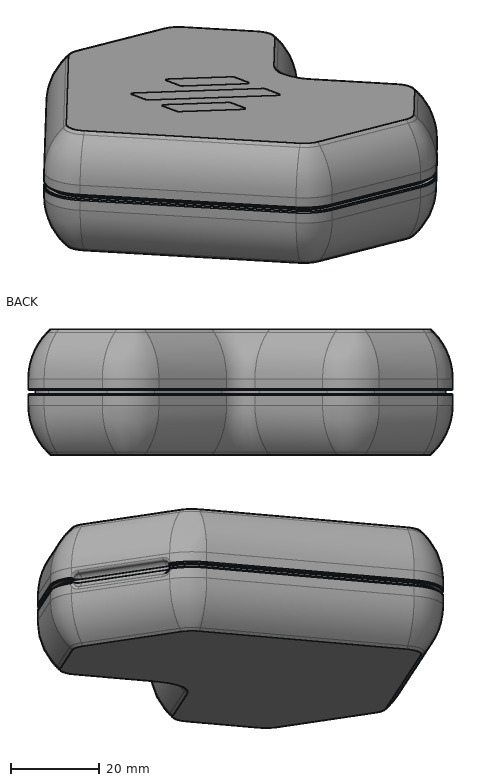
import cadquery as cq
import math

half_width = 48.2
edge_angle = 40.0
lobe_x = 25.0
side_length = 35.27
outer_corner_radius = 10.0
notch_radius = 5.0

slope = math.tan(math.radians(edge_angle))
tip_rounding = outer_corner_radius * (1 / math.cos(math.radians(edge_angle)) - 1)
lobe_rise = (half_width - lobe_x) * slope
tip_drop = half_width * slope
outline_length = lobe_rise + side_length + tip_drop - 2 * tip_rounding

lobe_y = outline_length / 2 + tip_rounding
side_top_y = lobe_y - lobe_rise
side_bottom_y = side_top_y - side_length
side_middle_y = (side_top_y + side_bottom_y) / 2
tip_y = side_bottom_y - tip_drop
notch_y = lobe_y - lobe_x * slope

half_height = 14.3
gap_half_height = 0.4
gap_depth = 1.6
gap_edge_chamfer = 0.3
wall_top = 3.0
round_radius = 15.0
round_angle = math.radians(45)
rim_width = 8.0
core_inset = 7.0

slot_radius = gap_depth
slot_end_offset = 11.2
slot_rim_radius = 0.75
slot_overshoot = 0.1

strip_width = 6.5
strip_height = 26.0
short_strip_height = 13.5
strip_pitch = 11.05
strip_angle = 57.0
strip_corner_radius = 0.7
strip_thickness = 0.6


def inner_corner(wire):
    """Corner of the notch, the corner closest to the middle of the heart."""
    return min(wire.Vertices(), key=lambda corner: math.hypot(corner.X, corner.Y))


def heart_outline(z):
    """Rounded heart wire on a plane at height z."""
    points = [
        (0, tip_y),
        (half_width, side_bottom_y),
        (half_width, side_top_y),
        (lobe_x, lobe_y),
        (0, notch_y),
        (-lobe_x, lobe_y),
        (-half_width, side_top_y),
        (-half_width, side_bottom_y),
    ]
    wire = cq.Workplane("XY").workplane(offset=z).polyline(points).close().val()
    notch = inner_corner(wire)
    outer_corners = [corner for corner in wire.Vertices() if not corner.isSame(notch)]
    wire = wire.fillet2D(outer_corner_radius, outer_corners)
    return wire.fillet2D(notch_radius, [inner_corner(wire)])


def heart_prism(inset, bottom, top):
    """Plain heart slab whose wall lies `inset` inside the outline."""
    outline = cq.Workplane(heart_outline(bottom)).toPending()
    return outline.offset2D(-inset).extrude(top - bottom)


def upper_shell():
    """Upper half of the case: a rim with the rounded profile around a solid core."""
    arc_inset = round_radius * (1 - math.cos(round_angle))
    arc_top = wall_top + round_radius * math.sin(round_angle)
    mid_inset = round_radius * (1 - math.cos(round_angle / 2))
    mid_z = wall_top + round_radius * math.sin(round_angle / 2)
    top_inset = arc_inset + (half_height - arc_top) / math.tan(round_angle)

    rim_profile = (
        cq.Workplane("XZ", origin=(-half_width, side_middle_y, 0))
        .moveTo(rim_width, gap_half_height)
        .lineTo(gap_edge_chamfer, gap_half_height)
        .lineTo(0, gap_half_height + gap_edge_chamfer)
        .lineTo(0, wall_top)
        .threePointArc((mid_inset, mid_z), (arc_inset, arc_top))
        .lineTo(top_inset, half_height)
        .lineTo(rim_width, half_height)
        .close()
    )
    rim = rim_profile.sweep(cq.Workplane(heart_outline(0)))
    return rim.union(heart_prism(core_inset, gap_half_height, half_height))


def slot_profile(y):
    """Upper half of the slot cross-section, on the plane at y: half-round floor and round rim."""
    mouth_half_height = math.sqrt((slot_radius + slot_rim_radius) ** 2 - slot_rim_radius ** 2)
    floor_share = slot_radius / (slot_radius + slot_rim_radius)
    tangent_point = (slot_rim_radius * floor_share, mouth_half_height * floor_share)
    return (
        cq.Workplane("XZ", origin=(-half_width, y, 0))
        .moveTo(-slot_overshoot, 0)
        .lineTo(-slot_overshoot, mouth_half_height)
        .lineTo(0, mouth_half_height)
        .radiusArc(tangent_point, -slot_rim_radius)
        .radiusArc((slot_radius, 0), slot_radius)
        .close()
    )


def finger_slot():
    """Cutter for the slot: a straight length between two round ends."""
    first_y = side_middle_y - slot_end_offset
    last_y = side_middle_y + slot_end_offset
    upper_half = slot_profile(last_y).extrude(2 * slot_end_offset)
    slot = upper_half.union(upper_half.mirror("XY"))
    for end_y in (first_y, last_y):
        slot = slot.union(slot_profile(end_y).revolve(360, (0, 0), (1, 0)))
    return slot


def strip(center_x, center_y, height):
    """One inlaid parallelogram strip, flush with the top face."""
    half_lean = height / math.tan(math.radians(strip_angle)) / 2
    bottom = half_height - strip_thickness
    return (
        cq.Workplane("XY", origin=(center_x, center_y, bottom))
        .polyline([
            (-half_lean - strip_width / 2, -height / 2),
            (-half_lean + strip_width / 2, -height / 2),
            (half_lean + strip_width / 2, height / 2),
            (half_lean - strip_width / 2, height / 2),
        ])
        .close()
        .extrude(strip_thickness)
        .edges("|Z")
        .fillet(strip_corner_radius)
    )


short_strip_y = (strip_height - short_strip_height) / 2
short_strip_x = strip_pitch - short_strip_y / math.tan(math.radians(strip_angle))
strips = [
    strip(0, 0, strip_height),
    strip(-short_strip_x, short_strip_y, short_strip_height),
    strip(short_strip_x, -short_strip_y, short_strip_height),
]

slot = finger_slot()

land = heart_prism(gap_depth, -gap_half_height, gap_half_height)
lid = upper_shell().cut(slot).union(land)
for inlay in strips:
    lid = lid.cut(inlay)

base = upper_shell().mirror("XY").cut(slot)

result = cq.Compound.makeCompound([
    lid.val(),
    base.val(),
    *[inlay.val() for inlay in strips],
])